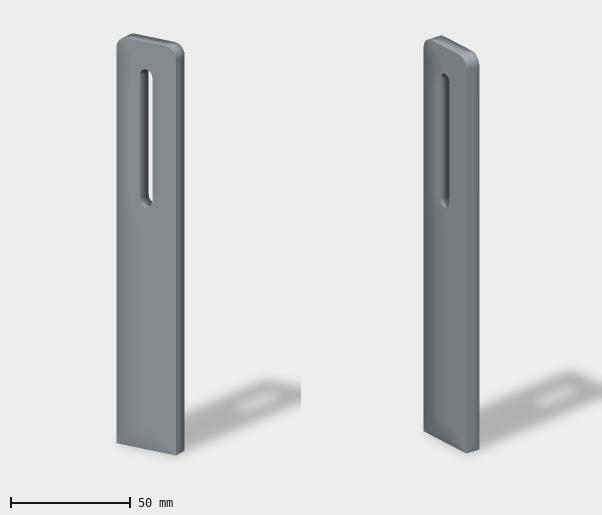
import cadquery as cq

width = 29.5
thickness = 6.8
height = 180
corner_radius = 5.0

slot_width = 6.1
slot_length = 60.8
slot_top_gap = 12.0
slot_center_z = height - slot_top_gap - slot_length / 2

bar = (
    cq.Workplane("XY")
    .box(width, thickness, height, centered=(True, True, False))
    .edges("|Y and >Z")
    .fillet(corner_radius)
)

slot = (
    cq.Workplane("XZ")
    .center(0, slot_center_z)
    .slot2D(slot_length, slot_width, angle=90)
    .extrude(thickness, both=True)
)

result = bar.cut(slot)